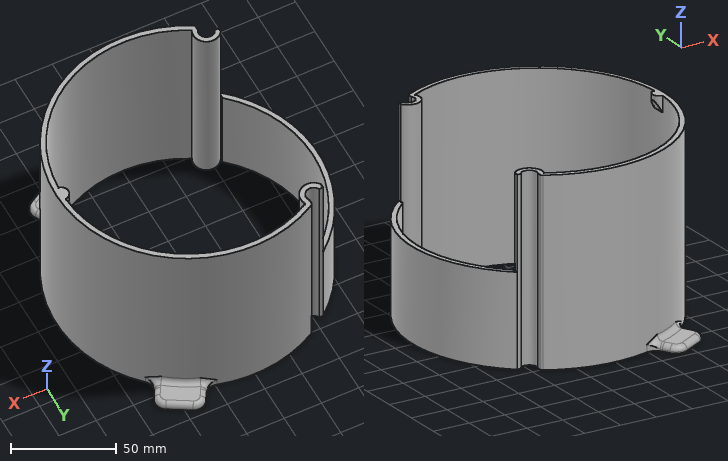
import cadquery as cq
import math

outer_diameter = 140.4
outer_radius = outer_diameter / 2
wall = 2.9
inner_radius = outer_radius - wall
height = 100.0
low_height = height / 2
tall_start_x = -35.5
low_end_x = -44.7
end_rounding = 1.5

channel_inner_radius = 4.0
channel_outer_radius = channel_inner_radius + wall
channel_pitch_radius = 67.8
channel_angle = 125.0
channel_lip_y = 54.0

bead_radius = 3.8
bead_center_x = 67.6
bead_height = 8.8
bead_slope = 60.0

tab_angle = 60.0
tab_reach = 84.1
tab_half_width = 12.5
tab_height = 4.0
tab_corner_radius = 6.0
tab_rounding = 2.9
tab_side_blend = 6.0

z_axis = ((0, 0, 0), (0, 0, 1))


def block(x_min, x_max, y_min, y_max, z_max):
    """Box standing on the base plane between the given limits."""
    size = (x_max - x_min, y_max - y_min, z_max)
    return cq.Workplane("XY").box(*size, centered=False).translate((x_min, y_min, 0))


def disc(radius, thickness):
    return cq.Workplane("XY").circle(radius).extrude(thickness)


def tube(outer, inner, length):
    return cq.Workplane("XY").circle(outer).circle(inner).extrude(length)


def make_tabbed_disc():
    """Full cylinder with a tab along +X, blended at its root and rounded on top."""
    tab = block(0, tab_reach, -tab_half_width, tab_half_width, tab_height)
    tab = tab.edges("|Z and >X").fillet(tab_corner_radius)
    body = disc(outer_radius, height).union(tab)
    root_x = math.sqrt(outer_radius**2 - tab_half_width**2)
    for side in (1, -1):
        root = cq.selectors.NearestToPointSelector((root_x, side * tab_half_width, tab_height / 2))
        body = body.edges(root).fillet(tab_side_blend)
    top_center = ((outer_radius + tab_reach) / 2, 0, tab_height)
    top_face = body.faces(cq.selectors.NearestToPointSelector(top_center))
    return top_face.edges().fillet(tab_rounding)


def make_tall_wall():
    """Tall part of the ring, with its mounting tabs."""
    tabbed_disc = make_tabbed_disc()
    body = tabbed_disc.rotate(*z_axis, tab_angle).union(tabbed_disc.rotate(*z_axis, -tab_angle))
    keep = block(tall_start_x, tab_reach, -tab_reach, tab_reach, height)
    return body.cut(disc(inner_radius, height)).intersect(keep)


def make_low_wall():
    keep = block(-outer_radius, low_end_x, -outer_radius, outer_radius, low_height)
    return tube(outer_radius, inner_radius, low_height).intersect(keep)


def channel_center():
    angle = math.radians(channel_angle)
    return channel_pitch_radius * math.cos(angle), channel_pitch_radius * math.sin(angle)


def make_channel():
    """Channel on the +Y side, open outward and trimmed to its lip."""
    center_x, center_y = channel_center()
    channel = tube(channel_outer_radius, channel_inner_radius, height)
    channel = channel.translate((center_x, center_y, 0))
    channel = channel.intersect(block(low_end_x, 0, 0, outer_radius, height))
    mouth = block(-outer_radius, tall_start_x, channel_lip_y, outer_radius, height)
    return channel.cut(mouth).intersect(disc(outer_radius, height))


def make_channel_bore():
    center_x, center_y = channel_center()
    return disc(channel_inner_radius, height).translate((center_x, center_y, 0))


def make_bead():
    """Round key at the top rim with a sloping underside."""
    bead = disc(bead_radius, height).translate((bead_center_x, 0, 0))
    bead = bead.intersect(disc(outer_radius, height))
    bottom_z = height - bead_height
    tip_x = bead_center_x - bead_radius
    slope_rise = (inner_radius - tip_x) * math.tan(math.radians(bead_slope))
    profile = (
        cq.Workplane("XZ")
        .moveTo(tip_x, height)
        .lineTo(tip_x, bottom_z + slope_rise)
        .lineTo(inner_radius, bottom_z)
        .lineTo(outer_radius, bottom_z)
        .lineTo(outer_radius, height)
        .close()
        .extrude(bead_radius, both=True)
    )
    return bead.intersect(profile)


result = make_tall_wall().union(make_low_wall())
channel = make_channel()
bore = make_channel_bore()
result = result.union(channel).union(channel.mirror("XZ"))
result = result.cut(bore).cut(bore.mirror("XZ"))
tall_end_y = math.sqrt(outer_radius**2 - tall_start_x**2)
for side in (1, -1):
    corner = cq.selectors.NearestToPointSelector((tall_start_x, side * tall_end_y, height / 2))
    result = result.edges(corner).fillet(end_rounding)
result = result.union(make_bead())